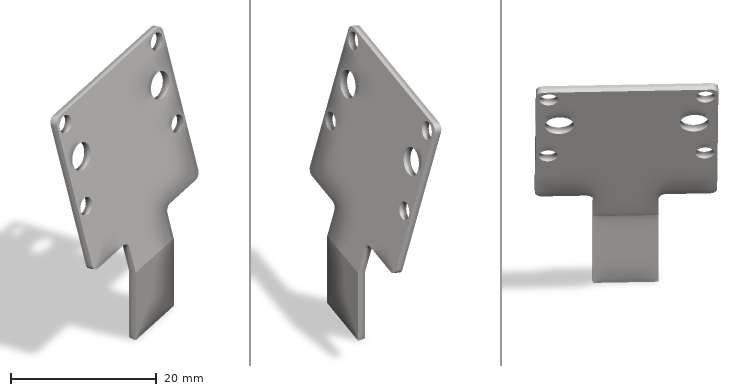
import cadquery as cq
import math

thickness = 1.1
bend_angle = 15.0
tab_height = 12.0

neck_width = 9.0
neck_length = 5.0
plate_width = 25.0
plate_length = 25.0
corner_radius = 1.0
neck_radius = 1.0

small_diameter = 2.6
small_edge_offset = 1.75
small_pitch = 13.5
large_diameter = 4.0
large_spacing = 18.5
large_top_offset = 8.0

lean_length = neck_length + plate_length
lean_sine = math.sin(math.radians(bend_angle))
lean_cosine = math.cos(math.radians(bend_angle))
prism_reach = 2 * tab_height


def make_side_profile():
    """Bent strip of constant thickness, as wide as the whole plate."""
    outer_bend_rise = thickness * math.tan(math.radians(bend_angle / 2))
    top_inner = (-lean_length * lean_sine, tab_height + lean_length * lean_cosine)
    top_outer = (top_inner[0] + thickness * lean_cosine, top_inner[1] + thickness * lean_sine)
    return (
        cq.Workplane("XZ")
        .polyline([
            (0, 0),
            (thickness, 0),
            (thickness, tab_height + outer_bend_rise),
            top_outer,
            top_inner,
            (0, tab_height),
        ])
        .close()
        .extrude(plate_width / 2, both=True)
    )


def leaning_plane():
    """Plane on the leaning -X face: local x along +Y, local y up the slope, origin at the bend."""
    return cq.Plane(
        origin=(0, 0, tab_height),
        xDir=(0, 1, 0),
        normal=(lean_cosine, 0, lean_sine),
    )


def make_outline():
    """Prism square to the leaning face: rounded plate on a neck that runs down past the tab."""
    plate = (
        cq.Workplane(leaning_plane())
        .center(0, neck_length + plate_length / 2)
        .rect(plate_width, plate_length)
        .extrude(prism_reach, both=True)
        .edges(cq.selectors.ParallelDirSelector(leaning_plane().zDir))
        .fillet(corner_radius)
    )
    neck_top = neck_length + corner_radius
    neck_span = neck_top + prism_reach
    neck = (
        cq.Workplane(leaning_plane())
        .center(0, neck_top - neck_span / 2)
        .rect(neck_width, neck_span)
        .extrude(prism_reach, both=True)
    )
    outline = plate.union(neck)
    for side in (-1, 1):
        corner = leaning_plane().toWorldCoords((side * neck_width / 2, neck_length))
        outline = outline.edges(cq.selectors.NearestToPointSelector(corner)).fillet(neck_radius)
    return outline


def make_holes():
    """Drills for all holes, square to the leaning plate."""
    small_y = plate_width / 2 - small_edge_offset
    upper_small = lean_length - small_edge_offset
    lower_small = upper_small - small_pitch
    large_height = lean_length - large_top_offset
    small_points = [(side * small_y, height) for side in (-1, 1) for height in (lower_small, upper_small)]
    large_points = [(side * large_spacing / 2, large_height) for side in (-1, 1)]
    small = cq.Workplane(leaning_plane()).pushPoints(small_points).circle(small_diameter / 2)
    large = cq.Workplane(leaning_plane()).pushPoints(large_points).circle(large_diameter / 2)
    return small.extrude(thickness).union(large.extrude(thickness))


result = make_side_profile().intersect(make_outline()).cut(make_holes())